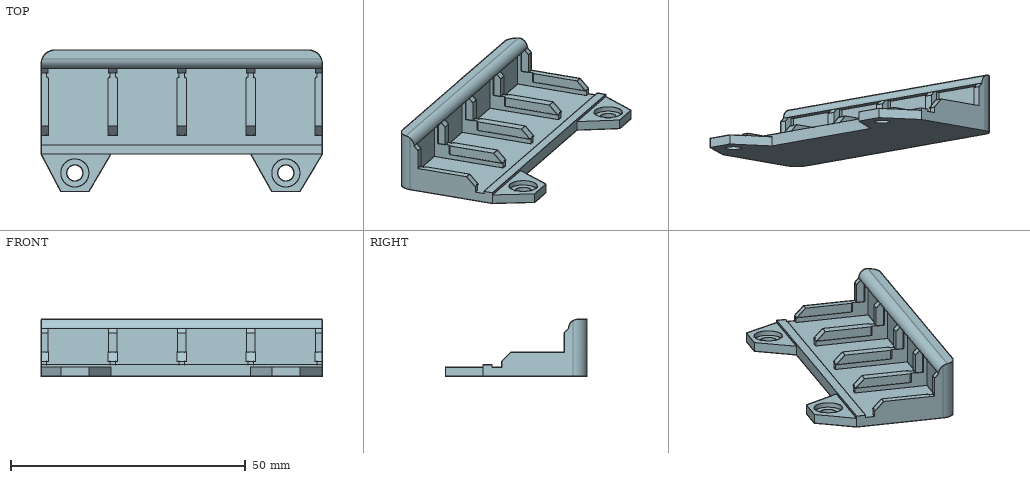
import cadquery as cq


LENGTH = 60.0
BASE_DEPTH = 22.25
BASE_HEIGHT = 2.0
LIP_DEPTH = 2.0
LIP_HEIGHT = 0.5

HEIGHT = 12.2
WALL_THICKNESS = 2.25
OVERHANG_DEPTH = 4.0
NOSE_RADIUS = 2.0
BACK_CORNER_RADIUS = 3.0

CELL_COUNT = 4
RIB_THICKNESS = 1.2
RIB_PITCH = (LENGTH - RIB_THICKNESS) / CELL_COUNT
RIB_FRONT = 18.25
RIB_HEIGHT = 5.2
RIB_CHAMFER = 2.0
UPRIGHT_FRONT = 4.9

UPPER_PAD_RISE = 0.3
UPPER_PAD_BACK = 3.0
LOWER_PAD_RISE = 0.4
LOWER_PAD_BACK = 5.7
LOWER_PAD_BOTTOM = RIB_HEIGHT - RIB_CHAMFER

TAB_TIP_WIDTH = 6.0
TAB_LENGTH = 8.0
LEFT_TAB_X = 7.2
TAB_SPACING = 45.0
RIGHT_TAB_X = LEFT_TAB_X + TAB_SPACING
LEFT_TAB_ROOT_WIDTH = 14.9
RIGHT_TAB_ROOT_WIDTH = 15.3
SCREW_DIAMETER = 3.4
SCREW_SETBACK = 4.0
COUNTERBORE_DIAMETER = 6.0
COUNTERBORE_DEPTH = 1.0

NOSE_BOTTOM = HEIGHT - NOSE_RADIUS


def box(x0, x1, front, back, z0, z1):
    """Box between two X values, two depths in front of the back face and two heights."""
    return cq.Workplane("XY").box(x1 - x0, front - back, z1 - z0, centered=False).translate((x0, -front, z0))


def side_profile():
    """Workplane whose first axis is +Y, second is +Z and which extrudes along +X."""
    return cq.Workplane("YZ")


def make_tray():
    """Base plate, front lip and back wall with its overhanging rounded nose."""
    base = box(0, LENGTH, BASE_DEPTH, 0, 0, BASE_HEIGHT)
    lip = box(0, LENGTH, BASE_DEPTH, BASE_DEPTH - LIP_DEPTH, 0, BASE_HEIGHT + LIP_HEIGHT)
    wall = (
        side_profile()
        .lineTo(0, HEIGHT)
        .lineTo(NOSE_RADIUS - OVERHANG_DEPTH, HEIGHT)
        .radiusArc((-OVERHANG_DEPTH, NOSE_BOTTOM), -NOSE_RADIUS)
        .lineTo(-WALL_THICKNESS, NOSE_BOTTOM)
        .lineTo(-WALL_THICKNESS, 0)
        .close()
        .extrude(LENGTH)
    )
    return base.union(lip).union(wall)


def rib_envelope():
    """Side outline shared by the ribs and their pads, extruded over the full length."""
    upright_chamfer = UPRIGHT_FRONT - OVERHANG_DEPTH
    return (
        side_profile()
        .lineTo(0, NOSE_BOTTOM)
        .lineTo(-OVERHANG_DEPTH, NOSE_BOTTOM)
        .lineTo(-UPRIGHT_FRONT, NOSE_BOTTOM - upright_chamfer)
        .lineTo(-UPRIGHT_FRONT, RIB_HEIGHT)
        .lineTo(RIB_CHAMFER - RIB_FRONT, RIB_HEIGHT)
        .lineTo(-RIB_FRONT, RIB_HEIGHT - RIB_CHAMFER)
        .lineTo(-RIB_FRONT, 0)
        .close()
        .extrude(LENGTH)
    )


def make_pads(x_centre, rise, front, back, z0, z1):
    """Pads on both sides of a rib, with back ends that slope out at 45 degrees."""
    half_rib = RIB_THICKNESS / 2
    half_width = half_rib + rise
    return (
        cq.Workplane("XY", origin=(x_centre, 0, z0))
        .moveTo(-half_rib, -back)
        .lineTo(half_rib, -back)
        .lineTo(half_width, -back - rise)
        .lineTo(half_width, -front)
        .lineTo(-half_width, -front)
        .lineTo(-half_width, -back - rise)
        .close()
        .extrude(z1 - z0)
    )


def make_ribs():
    """All ribs with their pads, trimmed to the rib outline and the ends of the part."""
    ribs = cq.Workplane("XY")
    for index in range(CELL_COUNT + 1):
        x_centre = RIB_THICKNESS / 2 + index * RIB_PITCH
        left = x_centre - RIB_THICKNESS / 2
        ribs = ribs.add(
            box(left, left + RIB_THICKNESS, RIB_FRONT, 0, 0, NOSE_BOTTOM)
            .union(make_pads(x_centre, UPPER_PAD_RISE, UPRIGHT_FRONT, UPPER_PAD_BACK, RIB_HEIGHT, NOSE_BOTTOM))
            .union(make_pads(x_centre, LOWER_PAD_RISE, RIB_FRONT, LOWER_PAD_BACK, LOWER_PAD_BOTTOM, RIB_HEIGHT))
        )
    return rib_envelope().intersect(ribs.combine())


def make_tab(x_centre, root_left, root_right):
    """Tab that tapers from its root on the base to a tip centred on the screw hole."""
    tip = -BASE_DEPTH - TAB_LENGTH
    tab = (
        cq.Workplane("XY")
        .moveTo(root_left, -BASE_DEPTH)
        .lineTo(root_right, -BASE_DEPTH)
        .lineTo(x_centre + TAB_TIP_WIDTH / 2, tip)
        .lineTo(x_centre - TAB_TIP_WIDTH / 2, tip)
        .close()
        .extrude(BASE_HEIGHT)
    )
    return (
        tab.faces(">Z")
        .workplane(origin=(x_centre, -BASE_DEPTH - SCREW_SETBACK, BASE_HEIGHT))
        .cboreHole(SCREW_DIAMETER, COUNTERBORE_DIAMETER, COUNTERBORE_DEPTH)
    )


def round_back_corners(body):
    """Round the two upright corners at the back of the part."""
    return body.edges("|Z and >Y").fillet(BACK_CORNER_RADIUS)


tray = round_back_corners(make_tray().union(make_ribs()))
left_tab = make_tab(LEFT_TAB_X, 0, LEFT_TAB_ROOT_WIDTH)
right_tab = make_tab(RIGHT_TAB_X, LENGTH - RIGHT_TAB_ROOT_WIDTH, LENGTH)
result = tray.union(left_tab).union(right_tab)